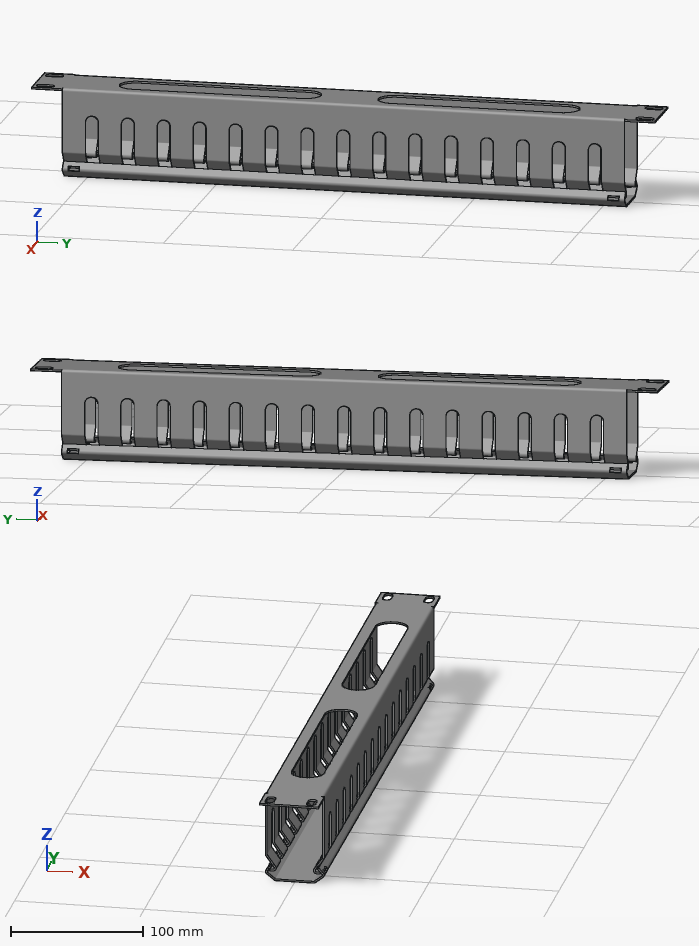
import cadquery as cq
import math

sheet = 1.5
panel_length = 483.0
panel_width = 45.5
duct_length = 435.5
duct_height = 70.0

panel_bend_radius = 1.5
wall_bend_radius = 1.5
wall_straight_height = 49.7
hook_bend_x = 13.5
hook_bottom_depth = 62.5
hook_radius = 1.7
hook_end_x = 19.5

finger_slot_count = 15
finger_slot_width = 10.0
finger_slot_span = 390.0
finger_slot_top_depth = 20.5

cable_slot_width = 25.0
cable_slot_length = 156.0
cable_slot_spacing = 200.5
mount_slot_width = 7.0
mount_slot_length = 13.5
mount_spacing_x = 32.0
mount_spacing_y = 464.5

cover_floor_width = 30.0
cover_floor_radius = 1.0
cover_bend_x = 22.5
cover_bend_depth = 63.5
cover_bend_radius = 1.7
cover_tab_x = 18.0
cover_tab_depth = 58.0

release_slot_length = 8.5
release_slot_height = 3.5
release_slot_depth = 62.5
release_slot_end_gap = 4.5

half_sheet = sheet / 2
wall_x = panel_width / 2 - half_sheet


def toward(start, end, distance):
    """Point at a distance from start on the way to end."""
    share = distance / math.dist(start, end)
    return tuple(a + (b - a) * share for a, b in zip(start, end))


def bend_setback(before, corner, after, radius):
    """Distance from a corner to the tangent points of its bend."""
    angle_in = math.atan2(corner[1] - before[1], corner[0] - before[0])
    angle_out = math.atan2(after[1] - corner[1], after[0] - corner[0])
    turn = math.remainder(angle_out - angle_in, math.tau)
    return radius * math.tan(abs(turn) / 2)


def folded_sheet(half_path, half_radii):
    """Sheet strip folded along a mid-line that is symmetric about X = 0.

    half_path runs from the strip's -X end to its middle. half_radii gives
    the mid-line bend radius of each of its points after the first.
    """
    path = half_path + [(-x, z) for x, z in reversed(half_path)]
    radii = half_radii + half_radii[::-1]
    line = cq.Workplane("XZ").moveTo(*path[0])
    for before, corner, after, radius in zip(path, path[1:], path[2:], radii):
        setback = bend_setback(before, corner, after, radius)
        line = line.lineTo(*toward(corner, before, setback))
        line = line.tangentArcPoint(toward(corner, after, setback), relative=False)
    line = line.lineTo(*path[-1])

    (start_x, start_z), (next_x, next_z) = path[:2]
    section_plane = cq.Plane(
        origin=(start_x, 0, start_z),
        xDir=(0, 1, 0),
        normal=(next_x - start_x, 0, next_z - start_z),
    )
    return cq.Workplane(section_plane).rect(duct_length, sheet).sweep(line)


def make_duct():
    """Rack panel with two slotted walls folded down from its long edges."""
    hook_z = -hook_bottom_depth + half_sheet
    duct = folded_sheet(
        [
            (-hook_end_x, hook_z),
            (-hook_bend_x, hook_z),
            (-wall_x, -wall_straight_height),
            (-wall_x, -half_sheet),
        ],
        [hook_radius, wall_bend_radius, panel_bend_radius],
    )

    ear_length = (panel_length - duct_length) / 2
    ear_y = (panel_length - ear_length) / 2
    for side in (-1, 1):
        ear = cq.Workplane("XY").box(panel_width, ear_length, sheet)
        duct = duct.union(ear.translate((0, side * ear_y, -half_sheet)))

    cable_slots = (
        cq.Workplane("XY")
        .rarray(5, cable_slot_spacing, 1, 2)
        .slot2D(cable_slot_length, cable_slot_width, 90)
        .extrude(-sheet)
    )
    mount_slots = (
        cq.Workplane("XY")
        .rarray(mount_spacing_x, mount_spacing_y, 2, 2)
        .slot2D(mount_slot_length, mount_slot_width, 90)
        .extrude(-sheet)
    )
    duct = duct.cut(cable_slots).cut(mount_slots)

    slot_pitch = finger_slot_span / (finger_slot_count - 1)
    slot_arc_z = -finger_slot_top_depth - finger_slot_width / 2
    for index in range(finger_slot_count):
        slot_y = index * slot_pitch - finger_slot_span / 2
        finger_slot = (
            cq.Workplane("YZ")
            .moveTo(slot_y - finger_slot_width / 2, -duct_height)
            .lineTo(slot_y - finger_slot_width / 2, slot_arc_z)
            .threePointArc(
                (slot_y, -finger_slot_top_depth),
                (slot_y + finger_slot_width / 2, slot_arc_z),
            )
            .lineTo(slot_y + finger_slot_width / 2, -duct_height)
            .close()
            .extrude(panel_width / 2, both=True)
        )
        duct = duct.cut(finger_slot)
    return duct


def make_cover():
    """Cover whose tabs hold the hooks of the duct walls."""
    cover = folded_sheet(
        [
            (-cover_tab_x, -cover_tab_depth),
            (-cover_bend_x, -cover_bend_depth),
            (-cover_floor_width / 2, -duct_height + half_sheet),
        ],
        [cover_bend_radius, cover_floor_radius],
    )

    slot_y = duct_length / 2 - release_slot_end_gap - release_slot_length / 2
    for side in (-1, 1):
        slot = cq.Workplane("XY").box(panel_width, release_slot_length, release_slot_height)
        cover = cover.cut(slot.translate((0, side * slot_y, -release_slot_depth)))
    return cover


duct = make_duct()
cover = make_cover()

result = cq.Compound.makeCompound([*duct.solids().vals(), *cover.solids().vals()])